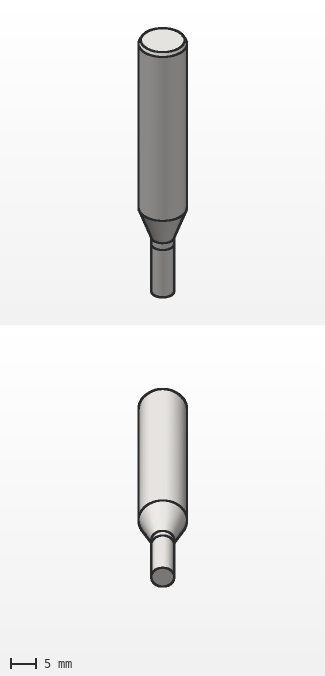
import cadquery as cq

total_length = 58.7
shank_diameter = 9.5
tip_diameter = 4.5
tip_length = 11.1
neck_length = 1.6
cone_length = 6.85
chamfer_width = 0.45
chamfer_height = 0.8

shank_radius = shank_diameter / 2
tip_radius = tip_diameter / 2
cone_bottom = tip_length + neck_length
cone_top = cone_bottom + cone_length


def make_shank():
    """Round shank with a chamfered top, tapering down to a short neck."""
    return (
        cq.Workplane("XZ")
        .moveTo(0, tip_length)
        .lineTo(tip_radius, tip_length)
        .lineTo(tip_radius, cone_bottom)
        .lineTo(shank_radius, cone_top)
        .lineTo(shank_radius, total_length - chamfer_height)
        .lineTo(shank_radius - chamfer_width, total_length)
        .lineTo(0, total_length)
        .close()
        .revolve(360, (0, 0, 0), (0, 1, 0))
    )


def make_tip():
    """Plain cylindrical tip that butts against the end of the neck."""
    return cq.Workplane("XY").circle(tip_radius).extrude(tip_length)


shank = make_shank()
tip = make_tip()

result = cq.Compound.makeCompound([shank.val(), tip.val()])